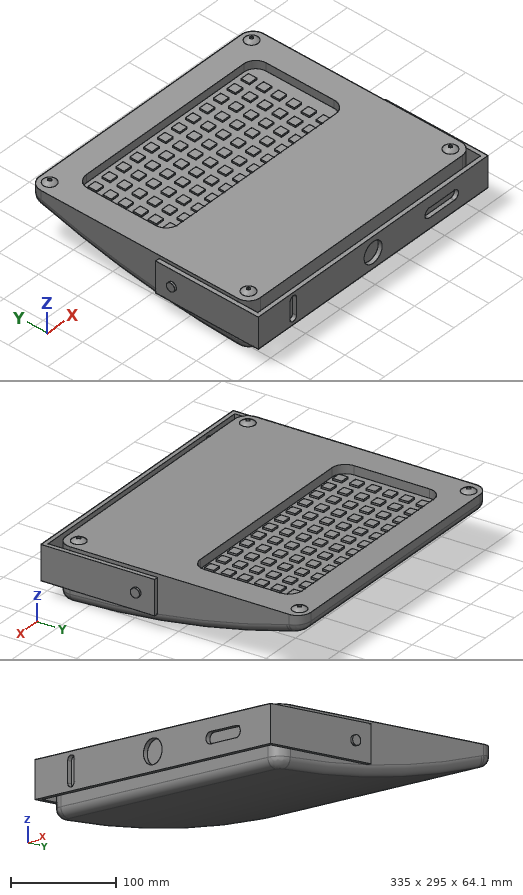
import cadquery as cq
import math

BODY_WIDTH = 320.0
BODY_LENGTH = 280.0
BODY_THICK_DEPTH = 61.12
BODY_THIN_DEPTH = 16.8
UNDERSIDE_RADIUS = 950.0
BODY_CORNER_RADIUS = 15.0
BODY_EDGE_RADIUS = 10.0

WINDOW_WIDTH = 256.0
WINDOW_LENGTH = 116.0
WINDOW_CENTER_Y = 50.5
WINDOW_CORNER_RADIUS = 15.0
WINDOW_DEPTH = 10.0

LED_COLUMNS = 12
LED_ROWS = 6
LED_PITCH_X = 20.0
LED_PITCH_Y = 19.0
LED_SIZE = 10.5
LED_HEIGHT = 2.0
LED_GRID_CENTER = (-3.0, 49.3)

SCREW_SPACING_X = 290.0
SCREW_SPACING_Y = 252.0
SCREW_CENTER_Y = 1.0
SCREW_DIAMETER = 16.0
SCREW_HEIGHT = 3.3
SCREW_SOCKET_DIAMETER = 4.0
SCREW_SOCKET_DEPTH = 2.0

BRACKET_THICKNESS = 5.0
BRACKET_HEIGHT = 39.0
BRACKET_ARM_LENGTH = 130.0
BRACKET_TOP_Z = -4.0
BRACKET_GAP = 10.0
BRACKET_WIDTH = BODY_WIDTH + 2 * BRACKET_THICKNESS
BRACKET_FRONT_Y = -BODY_LENGTH / 2 - BRACKET_GAP - BRACKET_THICKNESS
BRACKET_MIDDLE_Z = BRACKET_TOP_Z - BRACKET_HEIGHT / 2

WEB_HOLE_DIAMETER = 26.0
UPRIGHT_SLOT_X = -114.6
UPRIGHT_SLOT_LENGTH = 31.0
UPRIGHT_SLOT_WIDTH = 9.0
LEVEL_SLOT_X = 98.5
LEVEL_SLOT_LENGTH = 48.0
LEVEL_SLOT_WIDTH = 12.0

PIVOT_Y = -46.0
PIVOT_DIAMETER = 10.5
PIVOT_HEIGHT = 2.5


def housing():
    """Rounded plate whose underside is one shallow arc from the thin end to the thick end."""
    half_length = BODY_LENGTH / 2
    side_profile = (
        cq.Workplane("YZ", origin=(-BODY_WIDTH / 2, 0, 0))
        .moveTo(half_length, 0)
        .lineTo(half_length, -BODY_THIN_DEPTH)
        .radiusArc((-half_length, -BODY_THICK_DEPTH), UNDERSIDE_RADIUS)
        .lineTo(-half_length, 0)
        .close()
    )
    body = side_profile.extrude(BODY_WIDTH).edges("|Z").fillet(BODY_CORNER_RADIUS)
    underside = body.faces("<Z")
    return underside.edges().fillet(BODY_EDGE_RADIUS)


def window():
    return (
        cq.Workplane("XY", origin=(0, WINDOW_CENTER_Y, -WINDOW_DEPTH))
        .rect(WINDOW_WIDTH, WINDOW_LENGTH)
        .extrude(WINDOW_DEPTH)
        .edges("|Z")
        .fillet(WINDOW_CORNER_RADIUS)
    )


def led_blocks():
    grid_x, grid_y = LED_GRID_CENTER
    return (
        cq.Workplane("XY", origin=(grid_x, grid_y, -WINDOW_DEPTH))
        .rarray(LED_PITCH_X, LED_PITCH_Y, LED_COLUMNS, LED_ROWS)
        .rect(LED_SIZE, LED_SIZE)
        .extrude(LED_HEIGHT)
    )


def cover_screw():
    """Spherical cap standing on Z = 0, with a blind socket in its crown."""
    radius = SCREW_DIAMETER / 2
    sphere_radius = (radius**2 + SCREW_HEIGHT**2) / (2 * SCREW_HEIGHT)
    middle_radius = radius / 2
    middle_z = SCREW_HEIGHT - sphere_radius + math.sqrt(sphere_radius**2 - middle_radius**2)
    dome = (
        cq.Workplane("XZ")
        .lineTo(radius, 0)
        .threePointArc((middle_radius, middle_z), (0, SCREW_HEIGHT))
        .close()
        .revolve(360, (0, 0, 0), (0, 1, 0))
    )
    socket = (
        cq.Workplane("XY", origin=(0, 0, SCREW_HEIGHT - SCREW_SOCKET_DEPTH))
        .circle(SCREW_SOCKET_DIAMETER / 2)
        .extrude(SCREW_SOCKET_DEPTH)
    )
    return dome.cut(socket)


def bracket():
    """U-shaped strap: two arms beside the housing, joined by a web with three openings."""
    arm_end_y = BRACKET_FRONT_Y + BRACKET_ARM_LENGTH
    outer_x = BRACKET_WIDTH / 2
    inner_x = BODY_WIDTH / 2
    web_inner_y = BRACKET_FRONT_Y + BRACKET_THICKNESS
    strap = (
        cq.Workplane("XY", origin=(0, 0, BRACKET_TOP_Z))
        .moveTo(-outer_x, arm_end_y)
        .lineTo(-outer_x, BRACKET_FRONT_Y)
        .lineTo(outer_x, BRACKET_FRONT_Y)
        .lineTo(outer_x, arm_end_y)
        .lineTo(inner_x, arm_end_y)
        .lineTo(inner_x, web_inner_y)
        .lineTo(-inner_x, web_inner_y)
        .lineTo(-inner_x, arm_end_y)
        .close()
        .extrude(-BRACKET_HEIGHT)
    )
    openings = (
        cq.Workplane("XZ", origin=(0, BRACKET_FRONT_Y, BRACKET_MIDDLE_Z))
        .circle(WEB_HOLE_DIAMETER / 2)
        .pushPoints([(UPRIGHT_SLOT_X, 0)])
        .slot2D(UPRIGHT_SLOT_LENGTH, UPRIGHT_SLOT_WIDTH, 90)
        .pushPoints([(LEVEL_SLOT_X, 0)])
        .slot2D(LEVEL_SLOT_LENGTH, LEVEL_SLOT_WIDTH)
        .extrude(-BRACKET_THICKNESS)
    )
    return strap.cut(openings)


def pivot_pin(side):
    """Short round pin on the outside of one arm; side is -1 or +1 along X."""
    return (
        cq.Workplane("YZ", origin=(side * BRACKET_WIDTH / 2, PIVOT_Y, BRACKET_MIDDLE_Z))
        .circle(PIVOT_DIAMETER / 2)
        .extrude(side * PIVOT_HEIGHT)
    )


result = housing().cut(window()).union(led_blocks()).union(bracket())
for side in (-1, 1):
    result = result.union(pivot_pin(side))
    for end in (-1, 1):
        screw_position = (side * SCREW_SPACING_X / 2, SCREW_CENTER_Y + end * SCREW_SPACING_Y / 2, 0)
        result = result.union(cover_screw().translate(screw_position))